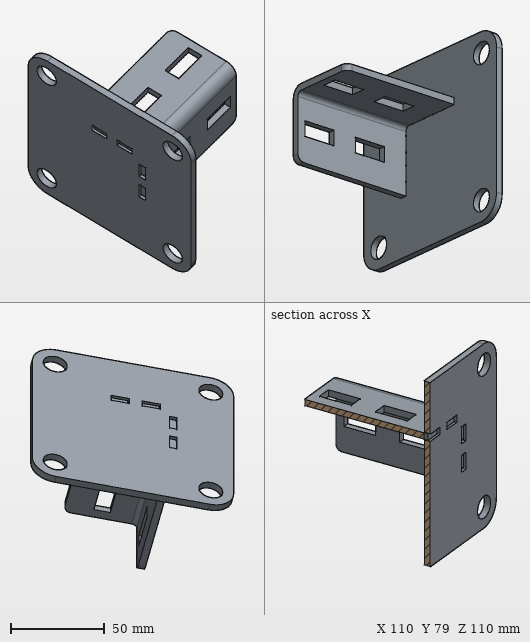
import cadquery as cq

plate_side = 110.0
sheet_thickness = 4.0
plate_corner_radius = 13.0
bolt_hole_diameter = 13.0
bolt_hole_spacing = 85.0

bracket_length = 75.0
leg_width = 44.0
leg_free_edge = -20.0
bend_inner_radius = 2.8
bend_outer_radius = bend_inner_radius + sheet_thickness
free_corner_radius = 4.0
leg_outer_face = leg_free_edge + leg_width
leg_inner_face = leg_outer_face - sheet_thickness
leg_middle = leg_outer_face - sheet_thickness / 2
bracket_root = sheet_thickness
bracket_end = bracket_root + bracket_length

window_length = 20.0
window_width = 9.0
window_pitch = 35.0
window_end_margin = 5.0

outer_tab_center = -7.0
tab_pitch = 17.0
tab_centers = (outer_tab_center, outer_tab_center + tab_pitch)
tab_height = 2.5
slot_length = 10.0
slot_width = 4.2
slot_end_clearance = 0.5
tab_length = slot_length - 2 * slot_end_clearance
outer_slot_corner_radius = 0.5


def box_between(x_range, y_range, z_range):
    """Axis-aligned box given its limits along each axis."""
    size = [limits[1] - limits[0] for limits in (x_range, y_range, z_range)]
    corner = (x_range[0], y_range[0], z_range[0])
    return cq.Workplane("XY").box(*size, centered=False).translate(corner)


def span(center, length):
    """Limits of a length centred on a position."""
    return (center - length / 2, center + length / 2)


def make_slots():
    """Slots for both legs; the one farther from the bend in each pair has rounded corners."""
    depth = (0, sheet_thickness)
    across = span(leg_middle, slot_width)
    slots = []
    for center in tab_centers:
        along = span(center, slot_length)
        pair = [box_between(along, depth, across), box_between(across, depth, along)]
        if center == outer_tab_center:
            pair = [slot.edges("|Y").fillet(outer_slot_corner_radius) for slot in pair]
        slots.extend(pair)
    return slots


def make_plate():
    plate = box_between(span(0, plate_side), (0, sheet_thickness), span(0, plate_side))
    plate = plate.edges("|Y").fillet(plate_corner_radius)
    holes = (
        cq.Workplane("XZ")
        .rect(bolt_hole_spacing, bolt_hole_spacing, forConstruction=True)
        .vertices()
        .circle(bolt_hole_diameter / 2)
        .extrude(-sheet_thickness)
    )
    plate = plate.cut(holes)
    for slot in make_slots():
        plate = plate.cut(slot)
    return plate


def cut_windows(bracket):
    first_center = bracket_end - window_end_margin - window_length / 2
    sheet_span = (leg_inner_face, leg_outer_face)
    across = span(0, window_width)
    for center in (first_center, first_center - window_pitch):
        along = span(center, window_length)
        bracket = bracket.cut(box_between(across, along, sheet_span))
        bracket = bracket.cut(box_between(sheet_span, along, across))
    return bracket


def add_tabs(bracket):
    tab_reach = (bracket_root - tab_height, bracket_root)
    sheet_span = (leg_inner_face, leg_outer_face)
    for center in tab_centers:
        along = span(center, tab_length)
        bracket = bracket.union(box_between(along, tab_reach, sheet_span))
        bracket = bracket.union(box_between(sheet_span, tab_reach, along))
    return bracket


def make_bracket():
    outer_span = (leg_free_edge, leg_outer_face)
    inner_span = (leg_free_edge, leg_inner_face)
    length_span = (bracket_root, bracket_end)
    outer = box_between(outer_span, length_span, outer_span)
    outer = outer.edges("|Y and >X and >Z").fillet(bend_outer_radius)
    inner = box_between(inner_span, length_span, inner_span)
    inner = inner.edges("|Y and >X and >Z").fillet(bend_inner_radius)
    bracket = outer.cut(inner)

    bracket = bracket.edges("|Z and <X and >Y").fillet(free_corner_radius)
    bracket = bracket.edges("|X and <Z and >Y").fillet(free_corner_radius)
    return add_tabs(cut_windows(bracket))


result = make_plate().union(make_bracket())